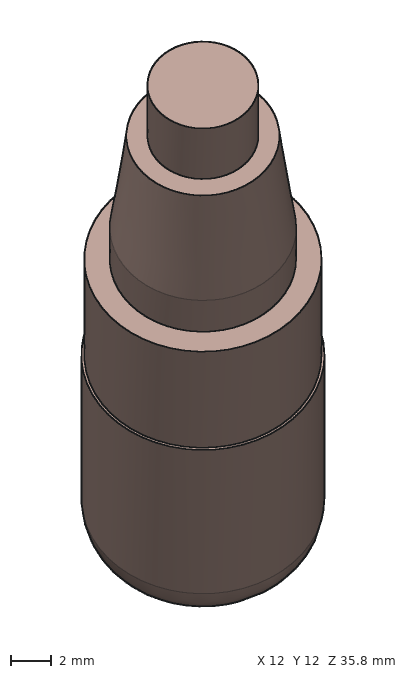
import cadquery as cq

total_height = 35.8
cap_height = 14.4
barrel_top = 22.0
collar_top = 24.52
cone_top = 31.8

cap_diameter = 12.0
barrel_diameter = 11.7
collar_diameter = 9.2
cone_top_diameter = 7.55
stem_diameter = 5.48

bottom_round_radius = 3.0


def make_cap():
    """Solid cylindrical cap with a rounded bottom edge."""
    cap = cq.Workplane("XY").circle(cap_diameter / 2).extrude(cap_height)
    return cap.faces("<Z").edges().fillet(bottom_round_radius)


def make_plug():
    """Turned plug standing on the cap: barrel, collar, tapered neck and stem."""
    barrel_radius = barrel_diameter / 2
    collar_radius = collar_diameter / 2
    cone_top_radius = cone_top_diameter / 2
    stem_radius = stem_diameter / 2
    half_section = (
        cq.Workplane("XZ")
        .moveTo(0, cap_height)
        .lineTo(barrel_radius, cap_height)
        .lineTo(barrel_radius, barrel_top)
        .lineTo(collar_radius, barrel_top)
        .lineTo(collar_radius, collar_top)
        .lineTo(cone_top_radius, cone_top)
        .lineTo(stem_radius, cone_top)
        .lineTo(stem_radius, total_height)
        .lineTo(0, total_height)
        .close()
    )
    return half_section.revolve(360, (0, 0, 0), (0, 1, 0))


cap = make_cap()
plug = make_plug()

result = cq.Compound.makeCompound([cap.val(), plug.val()])